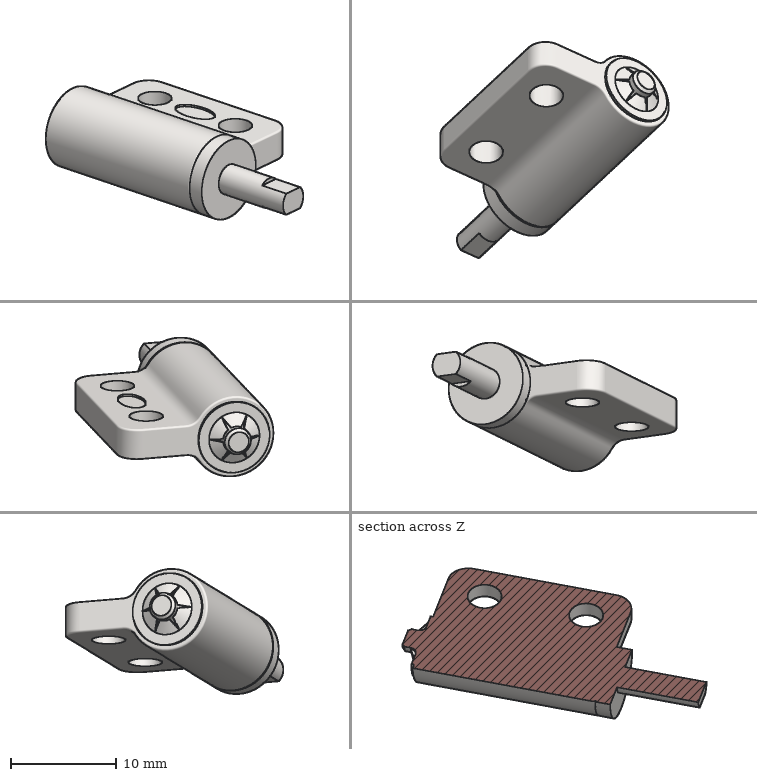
import cadquery as cq
import math


barrel_radius = 4.0
barrel_length = 18.0
leaf_thickness = 3.0
leaf_reach = 11.0
leaf_corner_radius = 2.0
root_fillet_radius = 1.5
rim_fillet_radius = 0.2

hole_diameter = 3.2
hole_offset = 7.5
hole_spacing = 10.0

recess_length = 4.5
recess_width = 2.5
recess_depth = 0.2

flange_radius = 3.5
flange_height = 0.25
cone_base_radius = 2.5
cone_height = 0.65
knob_radius = 1.3
knob_height = 0.9
knob_chamfer = 0.3
groove_count = 6
groove_width = 0.34

collar_radius = barrel_radius
collar_length = 1.5
shaft_radius = 1.5
shaft_length = 8.0
flat_length = 3.0
flat_thickness = 2.2


def make_housing():
    """Barrel and leaf as one extruded profile, with filleted outer edges."""
    half_leaf = leaf_thickness / 2
    blend_z = half_leaf + root_fillet_radius
    centre_distance = barrel_radius + root_fillet_radius
    blend_y = math.sqrt(centre_distance**2 - blend_z**2)
    tangent_y = blend_y * barrel_radius / centre_distance
    tangent_z = blend_z * barrel_radius / centre_distance
    bisector_angle = (math.atan2(-blend_z, -blend_y) - math.pi / 2) / 2
    blend_mid_y = blend_y + root_fillet_radius * math.cos(bisector_angle)
    blend_mid_z = blend_z + root_fillet_radius * math.sin(bisector_angle)

    body = (
        cq.Workplane("YZ")
        .moveTo(leaf_reach, half_leaf)
        .lineTo(blend_y, half_leaf)
        .threePointArc((blend_mid_y, blend_mid_z), (tangent_y, tangent_z))
        .threePointArc((-barrel_radius, 0), (tangent_y, -tangent_z))
        .threePointArc((blend_mid_y, -blend_mid_z), (blend_y, -half_leaf))
        .lineTo(leaf_reach, -half_leaf)
        .close()
        .extrude(barrel_length)
    )
    body = body.edges("|Z and >Y").fillet(leaf_corner_radius)
    body = body.faces(">Y").edges("|X").fillet(rim_fillet_radius)

    holes = (
        cq.Workplane("XY", origin=(barrel_length / 2, hole_offset, -half_leaf))
        .rarray(hole_spacing, 1, 2, 1)
        .circle(hole_diameter / 2)
        .extrude(leaf_thickness)
    )

    recess = (
        cq.Workplane("XY", origin=(barrel_length / 2, hole_offset, half_leaf - recess_depth))
        .ellipse(recess_length / 2, recess_width / 2)
        .extrude(recess_depth)
    )
    return body.cut(holes).cut(recess)


def make_petal_groove():
    """Cutter along +Y that narrows from the knob to nothing at the cone's base."""
    return (
        cq.Workplane("YZ", origin=(-flange_height - cone_height, 0, 0))
        .polyline([
            (knob_radius, -groove_width / 2),
            (cone_base_radius, 0),
            (knob_radius, groove_width / 2),
            (0, groove_width / 2),
            (0, -groove_width / 2),
        ])
        .close()
        .extrude(cone_height)
    )


def make_petal_cone():
    """Cone on the flange, split into petals by radial grooves."""
    cone_top_x = -flange_height - cone_height
    cone = (
        cq.Workplane("XY")
        .moveTo(-flange_height, 0)
        .lineTo(-flange_height, cone_base_radius)
        .lineTo(cone_top_x, knob_radius)
        .lineTo(cone_top_x, 0)
        .close()
        .revolve(360, (0, 0, 0), (1, 0, 0))
    )
    groove = make_petal_groove()
    for index in range(groove_count):
        angle = index * 360 / groove_count
        cone = cone.cut(groove.rotate((0, 0, 0), (1, 0, 0), angle))
    return cone


def make_knob_and_flange():
    """Chamfered knob that flares through a concave quarter round into the flange."""
    cone_top_x = -flange_height - cone_height
    tip_x = cone_top_x - knob_height
    flare_radius = cone_height
    flare_offset = flare_radius * math.sqrt(0.5)
    flare_mid = (cone_top_x + flare_offset, knob_radius + flare_radius - flare_offset)
    return (
        cq.Workplane("XY")
        .moveTo(0, 0)
        .lineTo(0, flange_radius)
        .lineTo(-flange_height, flange_radius)
        .lineTo(-flange_height, knob_radius + flare_radius)
        .threePointArc(flare_mid, (cone_top_x, knob_radius))
        .lineTo(tip_x + knob_chamfer, knob_radius)
        .lineTo(tip_x, knob_radius - knob_chamfer)
        .lineTo(tip_x, 0)
        .close()
        .revolve(360, (0, 0, 0), (1, 0, 0))
    )


def make_collar_and_shaft():
    """Round collar carrying a shaft with two flats at its free end."""
    collar_end = barrel_length + collar_length
    shaft_end = collar_end + shaft_length
    collar = (
        cq.Workplane("YZ", origin=(barrel_length, 0, 0))
        .circle(collar_radius)
        .extrude(collar_length)
    )
    shaft = cq.Workplane("YZ", origin=(collar_end, 0, 0)).circle(shaft_radius).extrude(shaft_length)
    for side in (1, -1):
        flat_cut = cq.Workplane("XY").box(flat_length, 2 * shaft_radius, shaft_radius)
        flat_z = side * (flat_thickness + shaft_radius) / 2
        shaft = shaft.cut(flat_cut.translate((shaft_end - flat_length / 2, 0, flat_z)))
    return collar.union(shaft)


nose = make_knob_and_flange().union(make_petal_cone())
result = make_housing().union(nose).union(make_collar_and_shaft())